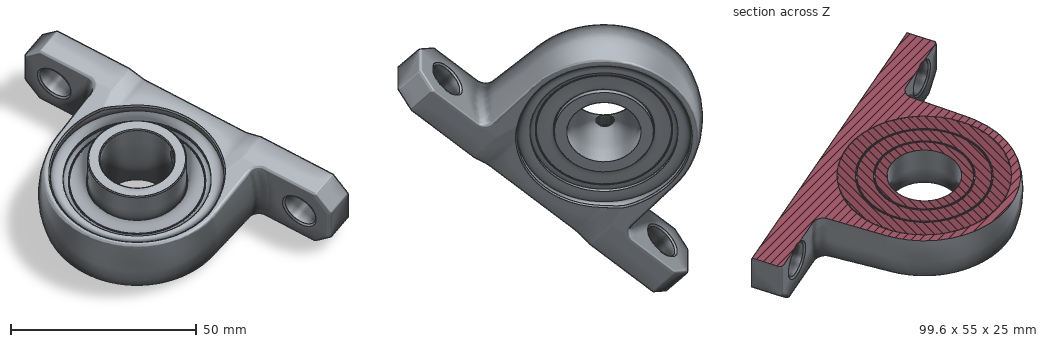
import cadquery as cq
import math


foot_length = 99.6
foot_height = 20.0
foot_thickness = 9.0
foot_corner_chamfer = 5.0
back_y = 28.3
bolt_hole_diameter = 10.0
bolt_hole_chamfer = 0.5
bolt_hole_spacing = 79.7

lug_radius = 26.7
lug_height = 17.0
side_flare = 2.0
blend_radius = 3.0
edge_radius = 1.0
bore_chamfer = 0.4

ramp_top_x = 21.4
ramp_base_x = 16.5
ramp_top_radius = 2.5
ramp_base_radius = 5.0

bearing_diameter = 47.0
outer_ring_height = 12.9
outer_ring_inner_diameter = 40.0
shield_depth = 1.0
shield_outer_diameter = 36.6
shield_inner_diameter = 27.4
shield_gap = 0.3
shield_gap_depth = 0.5
collar_diameter = 26.8
collar_chamfer = 0.3
shaft_diameter = 20.0
collar_top_above_foot = 5.0
set_screw_diameter = 5.0
set_screw_below_top = 3.0
set_screw_angle = 45.0

foot_front_y = back_y - foot_thickness
half_foot = foot_height / 2
half_lug = lug_height / 2
side_slope = math.tan(math.radians(side_flare))
rim_radius = math.sqrt(lug_radius**2 - half_lug**2)
taper_end_y = -rim_radius * math.sin(math.radians(side_flare))
blend_end_x = lug_radius + foot_front_y * side_slope + blend_radius
bearing_radius = bearing_diameter / 2
half_ring = outer_ring_height / 2
shield_z = half_ring - shield_depth
collar_top_z = half_foot + collar_top_above_foot

tolerance = 0.1
margin = 5.0
far_x = foot_length / 2 + margin
far_y = back_y + margin


def cylinder(diameter, bottom_z, top_z):
    return cq.Workplane("XY", origin=(0, 0, bottom_z)).circle(diameter / 2).extrude(top_z - bottom_z)


def ring(outer_diameter, inner_diameter, bottom_z, top_z):
    return cylinder(outer_diameter, bottom_z, top_z).cut(cylinder(inner_diameter, bottom_z, top_z))


def pick_edges(body, condition):
    """Selects the edges whose middle point (x, y, z) meets the condition."""
    return body.newObject([e for e in body.edges().vals() if condition(*e.positionAt(0.5).toTuple())])



def make_foot():
    """Bar with cut and rounded corners."""
    return (
        cq.Workplane("XY")
        .box(foot_length, foot_thickness, foot_height)
        .edges("|Y").chamfer(foot_corner_chamfer)
        .edges("|Y").fillet(edge_radius)
        .translate((0, back_y - foot_thickness / 2, 0))
    )


def lug_section(angle):
    """Half section of the sphere, standing on the ray at the given angle in the XY plane."""
    a = math.radians(angle)
    plane = cq.Plane(
        origin=(0, 0, 0),
        xDir=(math.cos(a), math.sin(a), 0),
        normal=(math.sin(a), -math.cos(a), 0),
    )
    end_radius = math.sqrt(lug_radius**2 - half_foot**2)
    return (
        cq.Workplane(plane)
        .moveTo(0, -half_foot)
        .lineTo(end_radius, -half_foot)
        .threePointArc((lug_radius, 0), (end_radius, half_foot))
        .lineTo(0, half_foot)
        .close()
    )


def make_lug():
    """Spherical front, continued into the foot by two straight sides that flare outward."""
    side_length = back_y - foot_thickness / 2
    front = lug_section(-side_flare).revolve(180 - 2 * side_flare, (0, 0, 0), (0, -1, 0))
    right = lug_section(-side_flare).extrude(-side_length)
    left = lug_section(180 + side_flare).extrude(side_length)
    core = cq.Workplane("XY").box(lug_radius, side_length, foot_height).translate((0, side_length / 2, 0))
    return front.union(right).union(left).union(core)


def blend_lug_into_foot(body):
    corners = pick_edges(body, lambda x, y, z: abs(y - foot_front_y) < tolerance and abs(z) < tolerance
                         and abs(x) < blend_end_x)
    return corners.fillet(blend_radius)


def mirrored_prism(plane, upper, half_depth):
    """Prism whose outline is the upper line and its mirror image below Z = 0."""
    lower = [(u, -z) for u, z in reversed(upper)]
    return cq.Workplane(plane).polyline(upper + lower).close().extrude(half_depth, both=True)


def ramp_prism(outer_points):
    """Prism along Y: flat middle, a rounded bend at the ramp base, then the given points."""
    right = [(ramp_base_x, half_lug)] + outer_points
    left = [(-x, z) for x, z in reversed(right)]
    prism = mirrored_prism("XZ", left + right, far_y)
    bends = pick_edges(prism, lambda x, y, z: abs(abs(x) - ramp_base_x) < tolerance and abs(y) < tolerance)
    return bends.fillet(ramp_base_radius)


def ramps_to_foot():
    """Envelope whose ramps level off at the height of the foot."""
    prism = ramp_prism([(ramp_top_x, half_foot), (far_x, half_foot)])
    crests = pick_edges(prism, lambda x, y, z: abs(abs(x) - ramp_top_x) < tolerance and abs(y) < tolerance)
    return crests.fillet(ramp_top_radius)


def ramps_to_taper():
    """Envelope whose ramps end at the faces that thin the lug from the foot to the bearing axis."""
    rise = half_foot - half_lug
    ramp_end_z = half_lug + rise * (far_x - ramp_base_x) / (ramp_top_x - ramp_base_x)
    taper_top_z = half_lug + rise * (far_y - taper_end_y) / (foot_front_y - taper_end_y)
    taper = mirrored_prism(
        "YZ",
        [(-lug_radius - margin, half_lug), (taper_end_y, half_lug), (far_y, taper_top_z)],
        far_x,
    )
    bore = cylinder(bearing_diameter, -foot_height, foot_height)
    envelope = ramp_prism([(far_x, ramp_end_z)]).intersect(taper).cut(bore)
    crests = pick_edges(envelope, lambda x, y, z: ramp_base_x < abs(x) < far_x - tolerance
                        and 0 < y < far_y - tolerance and math.hypot(x, y) > bearing_radius + tolerance
                        and abs(z) > half_lug + tolerance)
    return crests.fillet(ramp_top_radius)


def round_outline(body):
    """Rounds the front rim of the foot and the outer rims of the lug."""
    def on_outline(x, y, z):
        on_foot = abs(y - foot_front_y) < tolerance and abs(x) > blend_end_x + tolerance
        outside_bore = math.hypot(x, y) > rim_radius - tolerance and (y < 0 or abs(x) > bearing_radius)
        on_lug = outside_bore and abs(z) > half_lug - tolerance and y < foot_front_y - tolerance
        return on_foot or on_lug

    return pick_edges(body, on_outline).fillet(edge_radius)


def chamfer_bore(body):
    rims = pick_edges(body, lambda x, y, z: abs(math.hypot(x, y) - bearing_radius) < tolerance
                      and abs(z) > half_lug - tolerance)
    return rims.chamfer(bore_chamfer)


def drill_bolt_holes(body):
    """Through holes in the foot, chamfered at the front."""
    mouth_diameter = bolt_hole_diameter + 2 * bolt_hole_chamfer
    for x in (-bolt_hole_spacing / 2, bolt_hole_spacing / 2):
        front = cq.Workplane("XZ", origin=(x, foot_front_y, 0))
        hole = front.circle(bolt_hole_diameter / 2).extrude(-foot_thickness)
        mouth = front.circle(mouth_diameter / 2).extrude(-bolt_hole_chamfer, taper=45)
        body = body.cut(hole).cut(mouth)
    return body


def make_housing():
    body = blend_lug_into_foot(make_foot().union(make_lug()))
    body = body.intersect(ramps_to_foot()).intersect(ramps_to_taper())
    return drill_bolt_holes(chamfer_bore(round_outline(body)))



def make_bearing():
    """Sealed bearing with a raised collar that a set screw locks to the shaft."""
    body = cylinder(bearing_diameter, -half_ring, half_ring)
    outer_gap_diameter = shield_outer_diameter + 2 * shield_gap
    inner_gap_diameter = shield_inner_diameter - 2 * shield_gap
    for side in (-1, 1):
        gap_floor_z = side * (shield_z - shield_gap_depth)
        recess = cylinder(outer_ring_inner_diameter, side * shield_z, side * half_ring)
        outer_gap = ring(outer_gap_diameter, shield_outer_diameter, gap_floor_z, side * shield_z)
        inner_gap = ring(shield_inner_diameter, inner_gap_diameter, gap_floor_z, side * shield_z)
        body = body.cut(recess).cut(outer_gap).cut(inner_gap)

    collar = cylinder(collar_diameter, -half_ring, collar_top_z)
    shaft_hole = cylinder(shaft_diameter, -half_ring, collar_top_z)
    collar = collar.cut(shaft_hole).faces(">Z").edges().chamfer(collar_chamfer)
    body = body.cut(shaft_hole).union(collar)

    set_screw_hole = (
        cq.Workplane("YZ", origin=(0, 0, collar_top_z - set_screw_below_top))
        .circle(set_screw_diameter / 2)
        .extrude(collar_diameter)
        .rotate((0, 0, 0), (0, 0, 1), set_screw_angle)
    )
    return body.cut(set_screw_hole)


housing = make_housing()
bearing = make_bearing()
result = cq.Compound.makeCompound([housing.val(), bearing.val()])